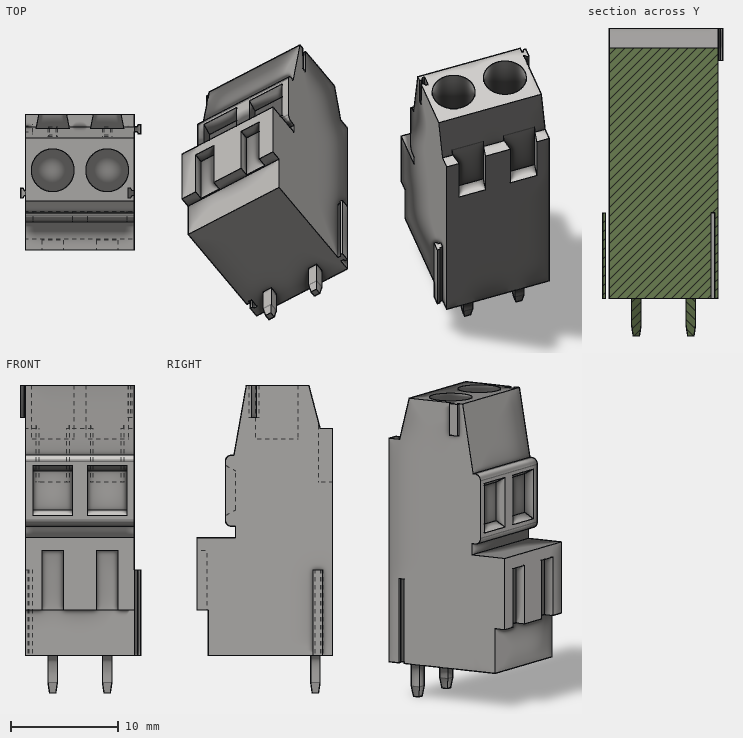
import cadquery as cq


POLES = 2
PITCH = 5.08
WIDTH = POLES * PITCH
POLE_X = [PITCH * (pole + 0.5) for pole in range(POLES)]

HEIGHT = 25.2
DEPTH = 12.64
FOOT_DEPTH = DEPTH - 1.04
FOOT_HEIGHT = 4.25
LEDGE_TOP = 11.0
NECK_DEPTH = 9.05
BAND_DEPTH = 10.0
BAND_BOTTOM = 12.05
BAND_TOP = 18.7
BAND_RADIUS = 0.6
FRONT_SLOPE_BOTTOM_DEPTH = 9.2
FRONT_SLOPE_TOP_DEPTH = 8.05
REAR_SLOPE_TOP_DEPTH = 2.2
REAR_STEP_DEPTH = 1.15
REAR_STEP_HEIGHT = 21.2

SCREW_HOLE_DIAMETER = 4.0
SCREW_HOLE_DEPTH = 5.0
SCREW_HOLE_FROM_BACK = 5.2

WINDOW_WIDTH = 3.65
WINDOW_TOP = 17.75
WINDOW_BOTTOM = 13.05
WINDOW_SLOPE_RISE = 0.52
WINDOW_RECESS = 0.95

SLOT_WIDTH = 2.03
SLOT_TOP = 9.8
SLOT_RECESS = 0.93

MARKER_BACK_WIDTH = 2.6
MARKER_FRONT_WIDTH = 3.1
MARKER_DEPTH = 1.3
MARKER_HEIGHT = 5.0

TOP_RAIL = (0.45, 0.1, 0.92, 0.22, 0.45)
TOP_GROOVE = (0.45, 0.22, 0.95, 0.38, 0.6)
TOP_RAIL_FROM_BACK = 7.33
TOP_RAIL_LENGTH = 3.0
LOW_RAIL = (0.5, 0.27, 0.87, 0.35, 0.6)
LOW_GROOVE = (0.55, 0.25, 0.92, 0.33, 0.65)
LOW_RAIL_FROM_BACK = 1.37
LOW_RAIL_LENGTH = 8.0

PIN_WIDTH = 0.9
PIN_TIP_WIDTH = 0.6
PIN_STRAIGHT = 2.5
PIN_TIP_LENGTH = 1.0
PIN_FROM_BACK = 1.6


def extrude_across(side_outline, start_x, length):
    """Extrude a closed YZ workplane outline along +X."""
    return side_outline.close().extrude(length).translate((start_x, 0, 0))


def housing_block():
    band_middle_depth = BAND_DEPTH - BAND_RADIUS
    corner = BAND_RADIUS * (1 - 0.5**0.5)
    outline = (
        cq.Workplane("YZ")
        .moveTo(0, 0)
        .lineTo(-FOOT_DEPTH, 0)
        .lineTo(-FOOT_DEPTH, FOOT_HEIGHT)
        .lineTo(-DEPTH, FOOT_HEIGHT)
        .lineTo(-DEPTH, LEDGE_TOP)
        .lineTo(-NECK_DEPTH, LEDGE_TOP)
        .lineTo(-NECK_DEPTH, BAND_BOTTOM)
        .lineTo(-band_middle_depth, BAND_BOTTOM)
        .threePointArc(
            (-BAND_DEPTH + corner, BAND_BOTTOM + corner),
            (-BAND_DEPTH, BAND_BOTTOM + BAND_RADIUS),
        )
        .lineTo(-BAND_DEPTH, BAND_TOP - BAND_RADIUS)
        .threePointArc(
            (-BAND_DEPTH + corner, BAND_TOP - corner),
            (-band_middle_depth, BAND_TOP),
        )
        .lineTo(-FRONT_SLOPE_BOTTOM_DEPTH, BAND_TOP)
        .lineTo(-FRONT_SLOPE_TOP_DEPTH, HEIGHT)
        .lineTo(-REAR_SLOPE_TOP_DEPTH, HEIGHT)
        .lineTo(-REAR_STEP_DEPTH, REAR_STEP_HEIGHT)
        .lineTo(0, REAR_STEP_HEIGHT)
    )
    return extrude_across(outline, 0, WIDTH)


def screw_hole(x):
    return (
        cq.Workplane("XY", origin=(x, -SCREW_HOLE_FROM_BACK, HEIGHT - SCREW_HOLE_DEPTH))
        .circle(SCREW_HOLE_DIAMETER / 2)
        .extrude(SCREW_HOLE_DEPTH)
    )


def wire_window(x):
    back_depth = BAND_DEPTH - WINDOW_RECESS
    outline = cq.Workplane("YZ").polyline([
        (-BAND_DEPTH, WINDOW_BOTTOM),
        (-BAND_DEPTH, WINDOW_TOP),
        (-back_depth, WINDOW_TOP - WINDOW_SLOPE_RISE),
        (-back_depth, WINDOW_BOTTOM + WINDOW_SLOPE_RISE),
    ])
    return extrude_across(outline, x - WINDOW_WIDTH / 2, WINDOW_WIDTH)


def ledge_slot(x):
    return cq.Workplane("XY").box(
        SLOT_WIDTH, SLOT_RECESS, SLOT_TOP - FOOT_HEIGHT, centered=(True, False, False)
    ).translate((x, -DEPTH, FOOT_HEIGHT))


def marker_recess(x):
    """Dovetail recess, wider inside than at the back, running up through the rear step."""
    bottom = REAR_STEP_HEIGHT - MARKER_HEIGHT
    return (
        cq.Workplane("XY", origin=(x, 0, bottom))
        .polyline([
            (-MARKER_BACK_WIDTH / 2, 0),
            (MARKER_BACK_WIDTH / 2, 0),
            (MARKER_FRONT_WIDTH / 2, -MARKER_DEPTH),
            (-MARKER_FRONT_WIDTH / 2, -MARKER_DEPTH),
        ])
        .close()
        .extrude(HEIGHT - bottom)
    )


def interlock(profile, side_x, direction, from_back, bottom, length):
    """Upright T-shaped bar reaching from a side face; direction is the sign of its reach along X."""
    neck_width, neck_end, head_width, head_start, head_end = profile
    half_outline = [
        (0, neck_width / 2),
        (neck_end, neck_width / 2),
        (head_start, head_width / 2),
        (head_end, head_width / 2),
    ]
    mirrored = [(reach, -half) for reach, half in reversed(half_outline)]
    points = [(direction * reach, half) for reach, half in half_outline + mirrored]
    return (
        cq.Workplane("XY", origin=(side_x, -from_back, bottom))
        .polyline(points)
        .close()
        .extrude(length)
    )


def build_housing():
    body = housing_block()
    for x in POLE_X:
        body = body.cut(screw_hole(x)).cut(wire_window(x)).cut(ledge_slot(x)).cut(marker_recess(x))

    top_rail_bottom = HEIGHT - TOP_RAIL_LENGTH
    body = body.union(interlock(TOP_RAIL, 0, -1, TOP_RAIL_FROM_BACK, top_rail_bottom, TOP_RAIL_LENGTH))
    body = body.cut(interlock(TOP_GROOVE, WIDTH, -1, TOP_RAIL_FROM_BACK, top_rail_bottom, TOP_RAIL_LENGTH))
    body = body.union(interlock(LOW_RAIL, WIDTH, 1, LOW_RAIL_FROM_BACK, 0, LOW_RAIL_LENGTH))
    body = body.cut(interlock(LOW_GROOVE, 0, 1, LOW_RAIL_FROM_BACK, 0, LOW_RAIL_LENGTH))
    return body


def build_pin(x):
    """Square pin hanging from the underside of the housing, with a tapered tip."""
    shank = (
        cq.Workplane("XY", origin=(x, -PIN_FROM_BACK, -PIN_STRAIGHT))
        .rect(PIN_WIDTH, PIN_WIDTH)
        .extrude(PIN_STRAIGHT)
    )
    tip = (
        cq.Workplane("XY", origin=(x, -PIN_FROM_BACK, -PIN_STRAIGHT))
        .rect(PIN_WIDTH, PIN_WIDTH)
        .workplane(offset=-PIN_TIP_LENGTH)
        .rect(PIN_TIP_WIDTH, PIN_TIP_WIDTH)
        .loft(ruled=True)
    )
    return shank.union(tip)


housing = build_housing()
pins = [build_pin(x) for x in POLE_X]

result = cq.Compound.makeCompound([housing.val(), *[pin.val() for pin in pins]])